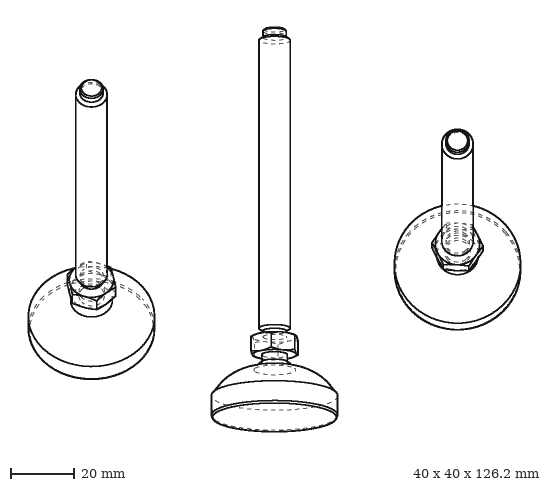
import cadquery as cq
import math

foot_radius = 40.0 / 2
bottom_chamfer_height = 0.8
bottom_inset = 0.4
rim_inset = 0.6
rim_bottom_z = 7.2
dome_bottom_z = 7.8
dome_top_z = 15.5
dome_top_radius = 9.0
dome_bulge = 1.3

ball_opening_radius = 13.3 / 2
lower_neck_radius = 8.1 / 2
ball_top_z = 18.0

nut_across_flats = 14.0
nut_bottom_z = 20.5
nut_height = 5.8
nut_chamfer_angle = 30

total_height = 126.2
rod_radius = 10.0 / 2
rod_bottom_z = 28.1
rod_top_z = 123.7
rod_chamfer_height = 0.9
end_neck_radius = 7.5 / 2
tip_chamfer = 0.5


def cylinder(radius, bottom, top):
    return cq.Workplane("XY").workplane(offset=bottom).circle(radius).extrude(top - bottom)


def make_foot():
    """Domed foot with a flat annular top and a visible ball cap."""
    dome_bottom_radius = foot_radius - rim_inset
    foot = (
        cq.Workplane("XZ")
        .lineTo(foot_radius - bottom_inset, 0)
        .lineTo(foot_radius, bottom_chamfer_height)
        .lineTo(foot_radius, rim_bottom_z)
        .lineTo(dome_bottom_radius, dome_bottom_z)
        .sagittaArc((dome_top_radius, dome_top_z), -dome_bulge)
        .lineTo(0, dome_top_z)
        .close()
        .revolve(360, (0, 0, 0), (0, 1, 0))
    )

    cap_height = ball_top_z - dome_top_z
    center_drop = (ball_opening_radius**2 - lower_neck_radius**2 - cap_height**2) / (2 * cap_height)
    ball_radius = math.hypot(ball_opening_radius, center_drop)
    ball = cq.Workplane("XY").sphere(ball_radius).translate((0, 0, dome_top_z - center_drop))
    cap = ball.intersect(cylinder(ball_opening_radius, dome_top_z, ball_top_z))
    return foot.union(cap)


def make_nut():
    """Hexagon with corners along Y, chamfered conically at both ends."""
    corner_diameter = nut_across_flats / math.cos(math.pi / 6)
    corner_radius = corner_diameter / 2
    face_radius = nut_across_flats / 2
    chamfer_height = (corner_radius - face_radius) * math.tan(math.radians(nut_chamfer_angle))
    hexagon = (
        cq.Workplane("XY")
        .polygon(6, corner_diameter)
        .extrude(nut_height)
        .rotate((0, 0, 0), (0, 0, 1), 30)
    )
    envelope = (
        cylinder(corner_radius, 0, nut_height)
        .faces("<Z or >Z")
        .chamfer(chamfer_height, corner_radius - face_radius)
    )
    return hexagon.intersect(envelope).translate((0, 0, nut_bottom_z))


def make_stem():
    """Lower neck, reduced core ending in the tip, and full-diameter rod."""
    lower_neck = cylinder(lower_neck_radius, dome_top_z, nut_bottom_z + nut_height / 2)
    core = cylinder(end_neck_radius, nut_bottom_z, total_height).faces(">Z").chamfer(tip_chamfer)
    rod = (
        cylinder(rod_radius, rod_bottom_z, rod_top_z)
        .faces("<Z or >Z")
        .chamfer(rod_chamfer_height, rod_radius - end_neck_radius)
    )
    return lower_neck.union(core).union(rod)


result = make_foot().union(make_stem()).union(make_nut())